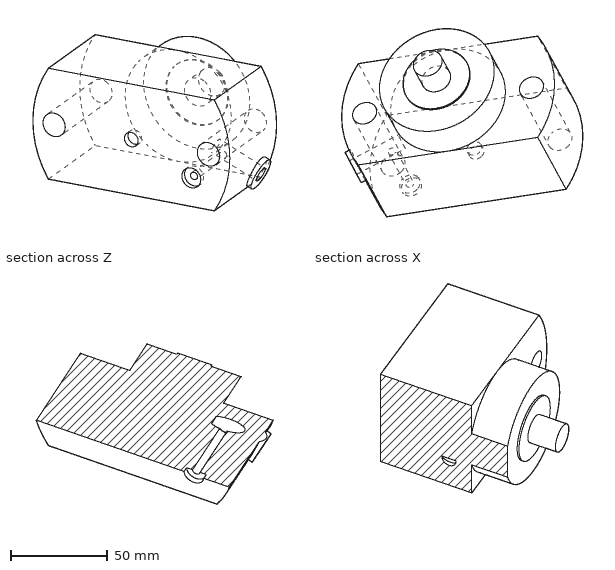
import cadquery as cq
import math

body_diameter = 115.0
body_height = 62.0
body_depth = 53.0

boss_diameter = body_height
boss_length = 20.9
collar_diameter = 36
collar_length = 1.0
shaft_diameter = 15.5
overall_depth = 91.0

mounting_diameter = 13.0
mounting_spacing = 90.1
centre_hole_diameter = 8.0
centre_hole_depth = 4.1
vent_x = 35.0
vent_z = -15.0
vent_counterbore_diameter = 11.0
vent_counterbore_depth = 3.0
vent_diameter = 4.1

port_collar_diameter = 17.9
port_face_radius = 59.9
port_collar_inner_radius = 52.2
port_diameter = 8.0
port_inner_radius = 31.3
port_y = body_depth - 13.2


def cylinder_along_y(diameter, start_y, end_y, x=0, z=0):
    """Cylinder parallel to Y between two Y positions."""
    return cq.Workplane(cq.Solid.makeCylinder(
        diameter / 2, end_y - start_y, cq.Vector(x, start_y, z), cq.Vector(0, 1, 0)))


def radial_cylinder(diameter, inner_radius, outer_radius):
    """Cylinder on the port axis between two distances from the main axis."""
    vent_angle = math.atan2(vent_z, vent_x)
    direction = cq.Vector(math.cos(vent_angle), 0, math.sin(vent_angle))
    start = direction * inner_radius + cq.Vector(0, port_y, 0)
    return cq.Workplane(cq.Solid.makeCylinder(
        diameter / 2, outer_radius - inner_radius, start, direction))


flats = cq.Workplane("XY").box(body_diameter, body_depth, body_height)
flats = flats.translate((0, body_depth / 2, 0))
body = cylinder_along_y(body_diameter, 0, body_depth).intersect(flats)

boss_end = body_depth + boss_length
collar_end = boss_end + collar_length
body = body.union(cylinder_along_y(boss_diameter, body_depth, boss_end))
body = body.union(cylinder_along_y(collar_diameter, boss_end, collar_end))
body = body.union(cylinder_along_y(shaft_diameter, collar_end, overall_depth))

body = body.union(radial_cylinder(port_collar_diameter, port_collar_inner_radius, port_face_radius))
body = body.cut(radial_cylinder(port_diameter, port_inner_radius, port_face_radius))

for side in (-1, 1):
    body = body.cut(cylinder_along_y(mounting_diameter, 0, body_depth, x=side * mounting_spacing / 2))

body = body.cut(cylinder_along_y(centre_hole_diameter, 0, centre_hole_depth))

body = body.cut(cylinder_along_y(vent_counterbore_diameter, 0, vent_counterbore_depth, vent_x, vent_z))
body = body.cut(cylinder_along_y(vent_diameter, 0, port_y, vent_x, vent_z))

result = body